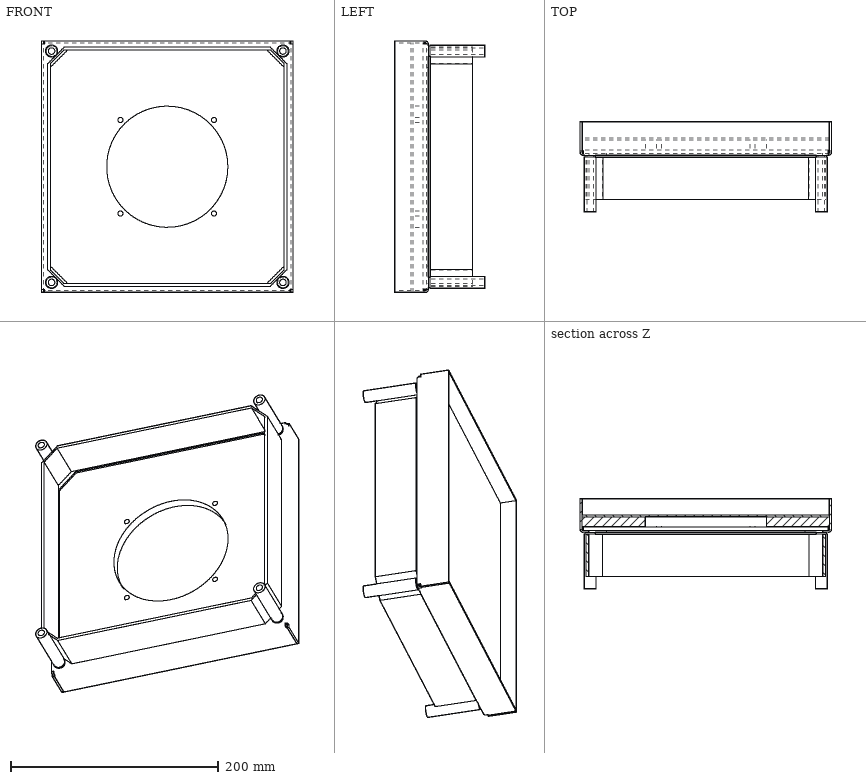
import cadquery as cq

tray_side = 243.0
tray_depth = 32.5
sheet = 2.0
bend_radius = 3.0
relief_depth = 4.4
flange_slit = 0.2
opening_side = 226.0
opening_chamfer = 17.0

collar_gap = 1.7
collar_length = 41.0
collar_side = 231.8
collar_wall = 3.0
collar_chamfer = 16.8
collar_inner_chamfer = 13.4

panel_setback = 3.5
panel_thickness = 9.7
window_diameter = 117.1
screw_hole_diameter = 4.9
screw_hole_offset = 45.2

overall_depth = 87.0
standoff_offset = 111.8
standoff_diameter = 11.7
standoff_neck_diameter = 10.2
standoff_bore = 6.3

tray_front = -tray_depth
face_rear = tray_front + sheet
panel_front = face_rear + panel_setback
panel_rear = panel_front + panel_thickness
collar_rear = tray_front - collar_gap
collar_front = collar_rear - collar_length

tray_inner_side = tray_side - 2 * sheet
signs = (-1, 1)
corners = [(x_sign, z_sign) for x_sign in signs for z_sign in signs]


def plane_at(y):
    """XZ plane at the given Y whose extrusions run toward +Y."""
    return cq.Workplane(cq.Plane(origin=(0, y, 0), xDir=(1, 0, 0), normal=(0, -1, 0)))


def square_block(side, y_front, y_rear):
    return plane_at(y_front).rect(side, side).extrude(y_front - y_rear)


def octagon_block(side, chamfer, y_front, y_rear):
    return square_block(side, y_front, y_rear).edges("|Y").chamfer(chamfer)


def cylinder(diameter, x, z, y_front, y_rear):
    return plane_at(y_front).center(x, z).circle(diameter / 2).extrude(y_front - y_rear)


def make_tray():
    tray = square_block(tray_side, tray_front, 0).faces("<Y").edges().fillet(bend_radius)
    cavity = square_block(tray_inner_side, face_rear, 0)
    cavity = cavity.faces("<Y").edges().fillet(bend_radius - sheet)
    tray = tray.cut(cavity)
    tray = tray.cut(octagon_block(opening_side, opening_chamfer, tray_front, face_rear))

    half_side = tray_side / 2
    relief_centre = half_side - bend_radius / 2
    slit_x = half_side - sheet - flange_slit / 2
    slit_z = half_side - sheet / 2
    for x_sign, z_sign in corners:
        relief = (
            plane_at(tray_front)
            .center(x_sign * relief_centre, z_sign * relief_centre)
            .rect(bend_radius, bend_radius)
            .extrude(-relief_depth)
        )
        slit = (
            plane_at(tray_front)
            .center(x_sign * slit_x, z_sign * slit_z)
            .rect(flange_slit, sheet)
            .extrude(-tray_depth)
        )
        tray = tray.cut(relief).cut(slit)
    return tray


def make_collar():
    inner_side = collar_side - 2 * collar_wall
    outside = octagon_block(collar_side, collar_chamfer, collar_front, collar_rear)
    inside = octagon_block(inner_side, collar_inner_chamfer, collar_front, collar_rear)
    return outside.cut(inside)


def make_panel():
    panel = square_block(tray_inner_side, panel_front, panel_rear)
    panel = panel.cut(cylinder(window_diameter, 0, 0, panel_front, panel_rear))
    for x_sign, z_sign in corners:
        x = x_sign * screw_hole_offset
        z = z_sign * screw_hole_offset
        panel = panel.cut(cylinder(screw_hole_diameter, x, z, panel_front, panel_rear))
    return panel


def make_backing():
    return square_block(tray_inner_side, panel_rear, panel_rear + sheet)


def make_standoff(x, z):
    barrel = cylinder(standoff_diameter, x, z, -overall_depth, collar_rear)
    neck = cylinder(standoff_neck_diameter, x, z, collar_rear, tray_front)
    bore = cylinder(standoff_bore, x, z, -overall_depth, tray_front)
    return barrel.union(neck).cut(bore)


tray = make_tray()
collar = make_collar()
panel = make_panel()
backing = make_backing()
standoffs = [
    make_standoff(x_sign * standoff_offset, z_sign * standoff_offset) for x_sign, z_sign in corners
]

result = cq.Compound.makeCompound(
    [tray.val(), collar.val(), panel.val(), backing.val()]
    + [standoff.val() for standoff in standoffs]
)